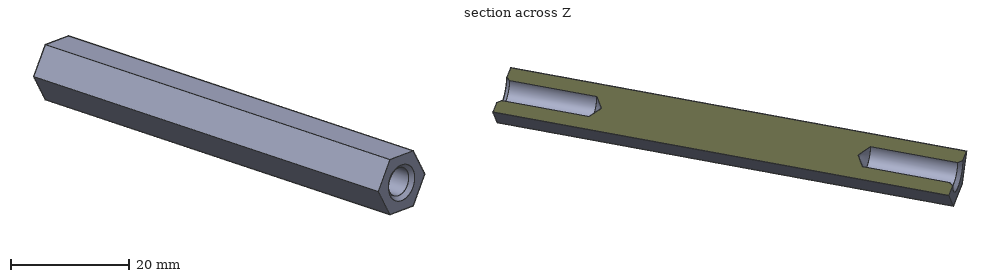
import cadquery as cq
import math

length = 80.0
across_flats = 10.0
across_corners = across_flats / math.cos(math.radians(30))

hole_diameter = 5.0
hole_depth = 16.0
drill_point_angle = 120.0
countersink_diameter = 6.5
countersink_angle = 90.0


def end_hole_cutter():
    """Drilled hole with a conical bottom and countersunk mouth, entering at X = 0."""
    hole_radius = hole_diameter / 2
    mouth_radius = countersink_diameter / 2
    countersink_depth = (mouth_radius - hole_radius) / math.tan(math.radians(countersink_angle / 2))
    point_depth = hole_radius / math.tan(math.radians(drill_point_angle / 2))
    return (
        cq.Workplane("XY")
        .moveTo(0, 0)
        .lineTo(0, mouth_radius)
        .lineTo(countersink_depth, hole_radius)
        .lineTo(hole_depth, hole_radius)
        .lineTo(hole_depth + point_depth, 0)
        .close()
        .revolve(360, (0, 0, 0), (1, 0, 0))
    )


body = cq.Workplane("YZ").polygon(6, across_corners).extrude(length)
near_hole = end_hole_cutter()
far_hole = near_hole.mirror("YZ").translate((length, 0, 0))

result = body.cut(near_hole).cut(far_hole)